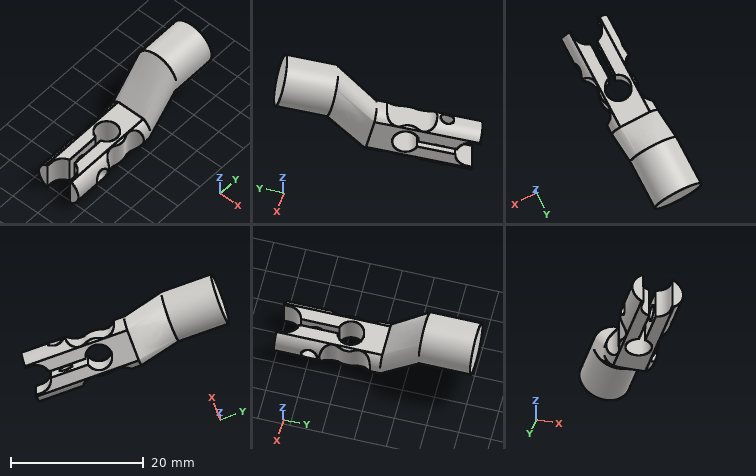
import cadquery as cq
import math

total_length = 30.5
width = 8.0
height = 12.57
shank_length = 8.0
neck_length = 6.0
tongue_height = 5.0
tongue_flat_width = 5.05

tongue_length = total_length - shank_length - neck_length
shank_start = total_length - shank_length
shank_radius = width / 2
shank_center_z = height - shank_radius
tongue_center_z = tongue_height / 2

hole_diameter = 4.0
hole_center_y = 11.0
slit_width = 1.0
mouth_width = 4.52
mouth_center_y = 0.92

wall_thickness = 1.0
scallop_radius = 2.0
scallop_offset_y = 2.0

screw_center_y = 5.5
tight_hole_diameter = 2.07
clearance_hole_diameter = 2.5


def section_plane(y, z):
    """Plane across the part whose local axes are +X and +Z."""
    return cq.Plane(origin=(0, y, z), xDir=(1, 0, 0), normal=(0, -1, 0))


def tongue_section(y):
    """Flat top and bottom joined by bulging sides."""
    half_flat = tongue_flat_width / 2
    half_height = tongue_height / 2
    return (
        cq.Workplane(section_plane(y, tongue_center_z))
        .moveTo(half_flat, half_height)
        .lineTo(-half_flat, half_height)
        .threePointArc((-width / 2, 0), (-half_flat, -half_height))
        .lineTo(half_flat, -half_height)
        .threePointArc((width / 2, 0), (half_flat, half_height))
        .close()
    )


def shank_section(y):
    """Circle split at its diagonals so its four arcs pair with the tongue's edges."""
    diagonal = shank_radius * math.sqrt(0.5)
    return (
        cq.Workplane(section_plane(y, shank_center_z))
        .moveTo(diagonal, diagonal)
        .threePointArc((0, shank_radius), (-diagonal, diagonal))
        .threePointArc((-shank_radius, 0), (-diagonal, -diagonal))
        .threePointArc((0, -shank_radius), (diagonal, -diagonal))
        .threePointArc((shank_radius, 0), (diagonal, diagonal))
        .close()
    )


def body():
    tongue = tongue_section(0).extrude(-tongue_length)
    shank = shank_section(shank_start).extrude(-shank_length)
    neck = cq.Solid.makeLoft(
        [tongue_section(tongue_length).val(), shank_section(shank_start).val()], True
    )
    return tongue.union(cq.Workplane(neck)).union(shank)


def jaw_opening():
    """Hole, slit and mouth through the tongue's height."""
    hole = cq.Workplane().center(0, hole_center_y).circle(hole_diameter / 2).extrude(tongue_height)
    slit = cq.Workplane().rect(slit_width, 2 * hole_center_y).extrude(tongue_height)
    mouth_end = cq.Workplane().center(0, mouth_center_y).circle(mouth_width / 2).extrude(tongue_height)
    mouth = cq.Workplane().rect(mouth_width, 2 * mouth_center_y).extrude(tongue_height)
    return hole.union(slit).union(mouth_end).union(mouth)


def waist_cut(side):
    """Outline of one side's waist; side is -1 for -X and +1 for +X."""
    wall_radius = hole_diameter / 2 + wall_thickness
    center_distance = wall_radius + scallop_radius
    scallop_x = math.sqrt(center_distance**2 - scallop_offset_y**2)
    tangent_x = scallop_x * wall_radius / center_distance
    tangent_y = scallop_offset_y * wall_radius / center_distance
    deepest_x = scallop_x - scallop_radius
    outer_y = scallop_offset_y + scallop_radius
    return (
        cq.Workplane(origin=(0, hole_center_y, 0))
        .moveTo(side * scallop_x, -outer_y)
        .threePointArc((side * deepest_x, -scallop_offset_y), (side * tangent_x, -tangent_y))
        .threePointArc((side * wall_radius, 0), (side * tangent_x, tangent_y))
        .threePointArc((side * deepest_x, scallop_offset_y), (side * scallop_x, outer_y))
        .close()
        .extrude(tongue_height)
    )


def screw_hole(side, diameter):
    """Hole from the middle of the slit out through one jaw."""
    return (
        cq.Workplane("YZ", origin=(0, screw_center_y, tongue_center_z))
        .circle(diameter / 2)
        .extrude(side * width)
    )


result = body().cut(jaw_opening())
for side, diameter in ((-1, tight_hole_diameter), (1, clearance_hole_diameter)):
    result = result.cut(waist_cut(side)).cut(screw_hole(side, diameter))